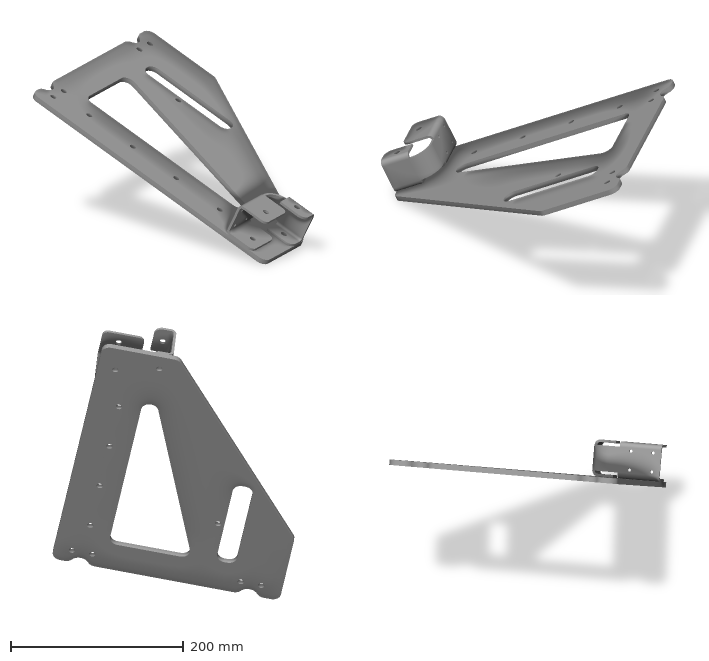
import cadquery as cq
import math

TILT = 26.2

PLATE_LENGTH = 349.5
PLATE_WIDTH = 270.0
PLATE_THICKNESS = 6.5
CORNER_RADIUS = 10.0
BACK_EDGE_LENGTH = 100.0
END_EDGE_LENGTH = 90.0
HOLE_DIAMETER = 7.5

NOTCH_RADIUS = 11.7
NOTCH_DEPTH = 9.5
NOTCH_SHOULDER_RADIUS = 10.0
FIRST_NOTCH_Y = 33.2
NOTCH_SPACING = 200.0
NOTCH_CENTERS_Y = (FIRST_NOTCH_Y, FIRST_NOTCH_Y + NOTCH_SPACING)
NOTCH_HOLE_X = 18.5
NOTCH_HOLE_SPACING = 24.0

ROW_HOLE_COUNT = 4
ROW_HOLE_SPACING = 65.0
ROW_FIRST_X = 63.5
ROW_Y = 35.0
SINGLE_HOLE = (103.3, 179.5)

SLOT_LEFT = 44.5
SLOT_LENGTH = 125.0
SLOT_WIDTH = 23.5
SLOT_CENTER_Y = 198.5

WINDOW_LEFT = 40.5
WINDOW_BOTTOM = 60.7
WINDOW_HEIGHT = 98.5
WINDOW_TIP_ANGLE = 19.4

SHEET = 3.0
BRACKET_HEIGHT = 43.0
FOLD_RADIUS = 6.5
WALL_X = 289.7
WALL_Y = 83.0
WALL_CORNER_RADIUS = 23.5
SIDE_FLANGE_LENGTH = 49.3
SIDE_FLANGE_DEPTH = 39.5
SIDE_FLANGE_CORNER = 7.0
BACK_FLANGE_DEPTH = 24.8
BACK_FLANGE_CORNER = 9.5
BACK_FLANGE_START = WALL_X + WALL_CORNER_RADIUS
SIDE_FLANGE_HOLE = (316.0, 20.5)
BACK_FLANGE_HOLE = (330.3, 70.0)
WALL_HOLE_DIAMETER = 3.7
WALL_HOLE_SPACING_Y = 26.0
WALL_HOLE_SPACING_Z = 22.0
WALL_HOLES_CENTER_Y = 22.8


def cut_through(body, points, diameter):
    """Drill holes along Z through the whole body."""
    reach = PLATE_THICKNESS + BRACKET_HEIGHT
    drill = cq.Workplane("XY").pushPoints(points).circle(diameter / 2).extrude(reach, both=True)
    return body.cut(drill)


def plate_blank():
    blank = (
        cq.Workplane("XY")
        .moveTo(0, 0)
        .lineTo(PLATE_LENGTH, 0)
        .lineTo(PLATE_LENGTH, END_EDGE_LENGTH)
        .lineTo(BACK_EDGE_LENGTH, PLATE_WIDTH)
        .lineTo(0, PLATE_WIDTH)
        .close()
        .extrude(-PLATE_THICKNESS)
    )
    return blank.edges("|Z").fillet(CORNER_RADIUS)


def notch(center_y):
    """A round notch that flows into the -X edge through a rounded shoulder on each side."""
    center_x = NOTCH_DEPTH - NOTCH_RADIUS
    reach = NOTCH_RADIUS + NOTCH_SHOULDER_RADIUS
    rise = NOTCH_SHOULDER_RADIUS - center_x
    half_width = math.sqrt(reach**2 - rise**2)
    touch_x = center_x + rise * NOTCH_RADIUS / reach
    touch_y = half_width * NOTCH_RADIUS / reach
    half_turn = math.asin(half_width / reach) / 2
    middle_x = NOTCH_SHOULDER_RADIUS * (1 - math.cos(half_turn))
    middle_y = half_width - NOTCH_SHOULDER_RADIUS * math.sin(half_turn)
    return (
        cq.Workplane("XY")
        .moveTo(0, center_y - half_width)
        .threePointArc((middle_x, center_y - middle_y), (touch_x, center_y - touch_y))
        .threePointArc((NOTCH_DEPTH, center_y), (touch_x, center_y + touch_y))
        .threePointArc((middle_x, center_y + middle_y), (0, center_y + half_width))
        .close()
        .extrude(-PLATE_THICKNESS)
    )


def slot():
    return (
        cq.Workplane("XY")
        .center(SLOT_LEFT + SLOT_LENGTH / 2, SLOT_CENTER_Y)
        .rect(SLOT_LENGTH, SLOT_WIDTH)
        .extrude(-PLATE_THICKNESS)
        .edges("|Z")
        .fillet(CORNER_RADIUS)
    )


def window():
    length = WINDOW_HEIGHT / math.tan(math.radians(WINDOW_TIP_ANGLE))
    return (
        cq.Workplane("XY")
        .moveTo(WINDOW_LEFT, WINDOW_BOTTOM)
        .lineTo(WINDOW_LEFT + length, WINDOW_BOTTOM)
        .lineTo(WINDOW_LEFT, WINDOW_BOTTOM + WINDOW_HEIGHT)
        .close()
        .extrude(-PLATE_THICKNESS)
        .edges("|Z")
        .fillet(CORNER_RADIUS)
    )


def plate_hole_points():
    points = [SINGLE_HOLE, SIDE_FLANGE_HOLE, BACK_FLANGE_HOLE]
    for i in range(ROW_HOLE_COUNT):
        points.append((ROW_FIRST_X + i * ROW_HOLE_SPACING, ROW_Y))
    for center_y in NOTCH_CENTERS_Y:
        points.append((NOTCH_HOLE_X, center_y - NOTCH_HOLE_SPACING / 2))
        points.append((NOTCH_HOLE_X, center_y + NOTCH_HOLE_SPACING / 2))
    return points


def make_plate():
    plate = plate_blank().cut(slot()).cut(window())
    for center_y in NOTCH_CENTERS_Y:
        plate = plate.cut(notch(center_y))
    return cut_through(plate, plate_hole_points(), HOLE_DIAMETER)


def channel(depth, length):
    """A C-shaped folded channel: wall on X = 0, flanges toward +X, running from Y = 0 to length."""
    outer = (
        cq.Workplane("XY")
        .box(depth, length, BRACKET_HEIGHT, centered=False)
        .edges("|Y and <X")
        .fillet(FOLD_RADIUS)
    )
    inner = (
        cq.Workplane("XY", origin=(SHEET, 0, SHEET))
        .box(depth, length, BRACKET_HEIGHT - 2 * SHEET, centered=False)
        .edges("|Y and <X")
        .fillet(FOLD_RADIUS - SHEET)
    )
    return outer.cut(inner)


def side_channel():
    part = channel(SIDE_FLANGE_DEPTH, SIDE_FLANGE_LENGTH)
    part = part.edges("|Z and >X").fillet(SIDE_FLANGE_CORNER)
    return part.translate((WALL_X, 0, 0))


def back_channel():
    length = PLATE_LENGTH - BACK_FLANGE_START
    part = channel(BACK_FLANGE_DEPTH, length)
    part = part.edges("|Z and >X and >Y").fillet(BACK_FLANGE_CORNER)
    part = part.rotate((0, 0, 0), (0, 0, 1), -90)
    return part.translate((BACK_FLANGE_START, WALL_Y, 0))


def corner_wall():
    """The strip of wall between the folds, unbroken around the rounded corner."""
    height = BRACKET_HEIGHT - 2 * FOLD_RADIUS
    outline = (
        cq.Workplane("XY", origin=(0, 0, FOLD_RADIUS))
        .moveTo(WALL_X, 0)
        .lineTo(WALL_X, WALL_Y - WALL_CORNER_RADIUS)
        .radiusArc((BACK_FLANGE_START, WALL_Y), WALL_CORNER_RADIUS)
        .lineTo(PLATE_LENGTH, WALL_Y)
        .lineTo(PLATE_LENGTH, WALL_Y - SHEET)
        .lineTo(BACK_FLANGE_START, WALL_Y - SHEET)
        .radiusArc((WALL_X + SHEET, WALL_Y - WALL_CORNER_RADIUS), SHEET - WALL_CORNER_RADIUS)
        .lineTo(WALL_X + SHEET, 0)
        .close()
    )
    return outline.extrude(height)


def wall_holes():
    return (
        cq.Workplane("YZ", origin=(WALL_X, WALL_HOLES_CENTER_Y, BRACKET_HEIGHT / 2))
        .rarray(WALL_HOLE_SPACING_Y, WALL_HOLE_SPACING_Z, 2, 2)
        .circle(WALL_HOLE_DIAMETER / 2)
        .extrude(SHEET)
    )


def make_bracket():
    bracket = corner_wall().union(side_channel()).union(back_channel()).cut(wall_holes())
    return cut_through(bracket, [SIDE_FLANGE_HOLE, BACK_FLANGE_HOLE], HOLE_DIAMETER)


def tilted(body):
    return body.rotate((0, 0, 0), (0, 1, 0), TILT)


plate = tilted(make_plate())
bracket = tilted(make_bracket())

result = cq.Compound.makeCompound([plate.val(), bracket.val()])